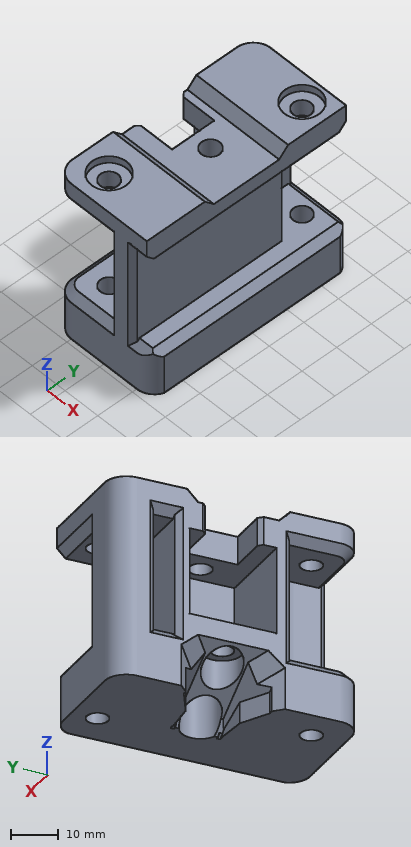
import cadquery as cq
import math

length_y = 57.5
height = 47.0
base_reach = 29.7
roof_reach = 28.0
half_length = length_y / 2
corner_radius = 5.0
envelope_reach = 32.6
base_round_reach = 30.0

base_height = 13.0
roof_bottom = 40.25
rim_chamfer = 2.0
jamb_chamfer = 1.4
core_reach = 23.65

bolt_hole_diameter = 5.0
bolt_head_diameter = 10.0
bolt_head_depth = 2.0
front_bolt = (8.2, -20.95)
rear_bolt = (20.95, 22.7)
pocket_radius = 8.45

slot_far_side = 19.2

groove_depth = 2.6
groove_floor_half_width = 9.45

center_y = 1.25
window_size = 20.25
window_bottom = 17.55
window_top = window_bottom + window_size
notch_depth = 10.4
notch_half_width = 6.1
notch_chamfer = 1.0

near_screw_x = 5.3
far_screw_x = 15.7
screw_hole_diameter = 5.0
roof_screw_hole_diameter = 5.2
screw_head_diameter = 9.0
screw_seat_thickness = 4.0

trough_angle = 33.0
trough_slope = math.tan(math.radians(trough_angle))
trough_half_width = 10.0
trough_ceiling_half_width = 5.0
trough_mouth_height = base_height
bevel_slope = 1 / math.cos(math.radians(trough_angle))
bevel_height = (trough_half_width - trough_ceiling_half_width) * bevel_slope
trough_bevel_bottom = trough_mouth_height - bevel_height
mouth_half_width = 12.1
mouth_ceiling_half_width = 8.15
mouth_bevel_bottom = 9.8
mouth_depth = 4.6
cheek_height = 5.0
cheek_inner_half_width = 6.3
cheek_end = (16.4, 5.75)
end_ramp_top_z = 3.15
end_ramp_foot_x = 17.55
toe_height = 0.8

overrun = 0.6


def rounded_block(reach, z_bottom, z_top):
    """Block from the X = 0 face, with all four upright corners rounded."""
    block = cq.Workplane("XY").box(reach, length_y, z_top - z_bottom, centered=(False, True, False))
    return block.translate((0, 0, z_bottom)).edges("|Z").fillet(corner_radius)


def trim_beyond(solid, x):
    cutter = cq.Workplane("XY").box(length_y, 2 * length_y, 2 * height, centered=(False, True, True))
    return solid.cut(cutter.translate((x, 0, 0)))


def make_base():
    base = rounded_block(envelope_reach, 0, base_height).faces(">Z").edges().chamfer(rim_chamfer)
    base = base.intersect(rounded_block(base_round_reach, 0, base_height))
    base = trim_beyond(base, base_reach)
    return base.cut(far_edge_bevel())


def far_edge_bevel():
    return (
        cq.Workplane("XZ")
        .moveTo(base_reach - rim_chamfer, base_height)
        .lineTo(base_reach, base_height - rim_chamfer)
        .lineTo(base_reach, base_height)
        .close()
        .extrude(half_length, both=True)
    )


def make_roof():
    roof = rounded_block(envelope_reach, roof_bottom, height)
    return trim_beyond(roof.faces("<Z").edges().chamfer(rim_chamfer), roof_reach)


def make_core():
    """Upright core: a web with a rounded pocket at each bolt, and the slot beside the rear one."""
    front_x, front_y = front_bolt
    rear_x, rear_y = rear_bolt
    arc_offset = pocket_radius * math.sqrt(0.5)
    corner_offset = corner_radius * (1 - math.sqrt(0.5))
    front_wall_x = front_x + pocket_radius
    front_wall_y = front_y + pocket_radius
    rear_wall_x = rear_x - pocket_radius
    rear_wall_y = rear_y - pocket_radius
    bevel_y = half_length - jamb_chamfer
    core = (
        cq.Workplane("XY")
        .moveTo(0, front_wall_y + jamb_chamfer)
        .lineTo(jamb_chamfer, front_wall_y)
        .lineTo(front_x, front_wall_y)
        .threePointArc((front_x + arc_offset, front_y + arc_offset), (front_wall_x, front_y))
        .lineTo(front_wall_x, -bevel_y)
        .lineTo(front_wall_x + jamb_chamfer, -half_length)
        .lineTo(core_reach - jamb_chamfer, -half_length)
        .lineTo(core_reach, -bevel_y)
        .lineTo(core_reach, rear_wall_y)
        .lineTo(rear_x, rear_wall_y)
        .threePointArc((rear_x - arc_offset, rear_y - arc_offset), (rear_wall_x, rear_y))
        .lineTo(rear_wall_x, bevel_y)
        .lineTo(rear_wall_x - jamb_chamfer, half_length)
        .lineTo(corner_radius, half_length)
        .threePointArc((corner_offset, half_length - corner_offset), (0, half_length - corner_radius))
        .close()
        .extrude(height)
    )
    slot = (
        cq.Workplane("XY")
        .moveTo(0, rear_wall_y - jamb_chamfer)
        .lineTo(jamb_chamfer, rear_wall_y)
        .lineTo(rear_x, rear_wall_y)
        .lineTo(rear_x, slot_far_side)
        .lineTo(jamb_chamfer, slot_far_side)
        .lineTo(0, slot_far_side + jamb_chamfer)
        .close()
        .extrude(roof_bottom + rim_chamfer - (base_height - rim_chamfer))
        .translate((0, 0, base_height - rim_chamfer))
    )
    return core.cut(slot)


def vertical_hole(x, y, diameter, z_bottom, z_top):
    hole = cq.Workplane("XY").circle(diameter / 2).extrude(z_top - z_bottom)
    return hole.translate((x, y, z_bottom))


def roof_groove():
    top_half_width = groove_floor_half_width + groove_depth
    floor_z = height - groove_depth
    return (
        cq.Workplane("YZ")
        .polyline([
            (-top_half_width, height),
            (-groove_floor_half_width, floor_z),
            (groove_floor_half_width, floor_z),
            (top_half_width, height),
        ])
        .close()
        .extrude(base_reach)
    )


def window_and_notch():
    window = (
        cq.Workplane("XY")
        .box(window_size, window_size, window_size, centered=(False, True, False))
        .translate((0, center_y, window_bottom))
    )
    mouth = notch_half_width + notch_chamfer
    notch = (
        cq.Workplane("XY")
        .polyline([
            (0, -mouth),
            (notch_chamfer, -notch_half_width),
            (notch_depth, -notch_half_width),
            (notch_depth, notch_half_width),
            (notch_chamfer, notch_half_width),
            (0, mouth),
        ])
        .close()
        .extrude(height - window_top)
        .translate((0, center_y, window_top))
    )
    return window.union(notch)


def sloping_prism(start_x, end_x, half_width, ceiling_half_width, bevel_bottom, narrowing):
    """Trough-shaped solid that sinks along the slope and narrows by `narrowing` per unit of X.

    The widths and heights given are those of the section at X = 0.
    """
    def section(x):
        shift = narrowing * x
        sink = trough_slope * x
        right_side = [
            (half_width - shift, -height),
            (half_width - shift, bevel_bottom - sink),
            (ceiling_half_width - shift, trough_mouth_height - sink),
        ]
        left_side = [(-y, z) for y, z in reversed(right_side)]
        points = [cq.Vector(x, center_y + y, z) for y, z in right_side + left_side]
        return cq.Wire.makePolygon(points, close=True)

    return cq.Workplane(cq.Solid.makeLoft([section(start_x), section(end_x)], True))


def trough_cheek(side):
    """Upright-faced block that closes the foot of the trough on one side (+1 or -1)."""
    def bevel_x(half_width):
        rise = trough_mouth_height - cheek_height
        return (rise - (half_width - trough_ceiling_half_width) * bevel_slope) / trough_slope

    end_x, end_half_width = cheek_end
    outline = [
        (bevel_x(trough_half_width), trough_half_width),
        (bevel_x(cheek_inner_half_width), cheek_inner_half_width),
        (end_x, end_half_width),
        (base_reach, end_half_width),
        (base_reach, trough_half_width),
    ]
    points = [(x, center_y + side * y) for x, y in outline]
    return cq.Workplane("XY").polyline(points).close().extrude(cheek_height)


def trough_end():
    """Steeper ramp that ends the trough, easing to the trough's slope in both corners of its foot."""
    ramp_top_x = (trough_mouth_height - end_ramp_top_z) / trough_slope
    toe_top_x = end_ramp_foot_x - (end_ramp_foot_x - ramp_top_x) * toe_height / end_ramp_top_z
    toe_foot_x = toe_top_x + toe_height / trough_slope
    top_points = [(ramp_top_x, end_ramp_top_z), (base_reach, end_ramp_top_z)]
    wide_ramp = top_points + [(base_reach, 0), (toe_foot_x, 0), (toe_top_x, toe_height)]
    middle_ramp = top_points + [(base_reach, 0), (end_ramp_foot_x, 0)]
    plane = cq.Workplane("XZ", origin=(0, center_y, 0))
    wide = plane.polyline(wide_ramp).close().extrude(trough_half_width, both=True)
    middle = plane.polyline(middle_ramp).close().extrude(trough_ceiling_half_width, both=True)
    return wide.union(middle)


def trough():
    channel = sloping_prism(
        -overrun, base_reach, trough_half_width, trough_ceiling_half_width, trough_bevel_bottom, 0
    )
    channel = channel.cut(trough_cheek(1)).cut(trough_cheek(-1)).cut(trough_end())
    mouth = sloping_prism(
        0, mouth_depth, mouth_half_width, mouth_ceiling_half_width, mouth_bevel_bottom, 1
    )
    return channel.union(mouth)


result = make_core().union(make_base()).union(make_roof())
result = result.cut(roof_groove()).cut(window_and_notch()).cut(trough())

for bolt_x, bolt_y in (front_bolt, rear_bolt):
    result = result.cut(vertical_hole(bolt_x, bolt_y, bolt_hole_diameter, 0, height))
    result = result.cut(
        vertical_hole(bolt_x, bolt_y, bolt_head_diameter, height - bolt_head_depth, height)
    )

screw_seat_z = window_bottom - screw_seat_thickness
for screw_x in (near_screw_x, far_screw_x):
    result = result.cut(vertical_hole(screw_x, center_y, screw_hole_diameter, 0, window_bottom))
    result = result.cut(vertical_hole(screw_x, center_y, screw_head_diameter, 0, screw_seat_z))
result = result.cut(vertical_hole(far_screw_x, center_y, roof_screw_hole_diameter, window_top, height))